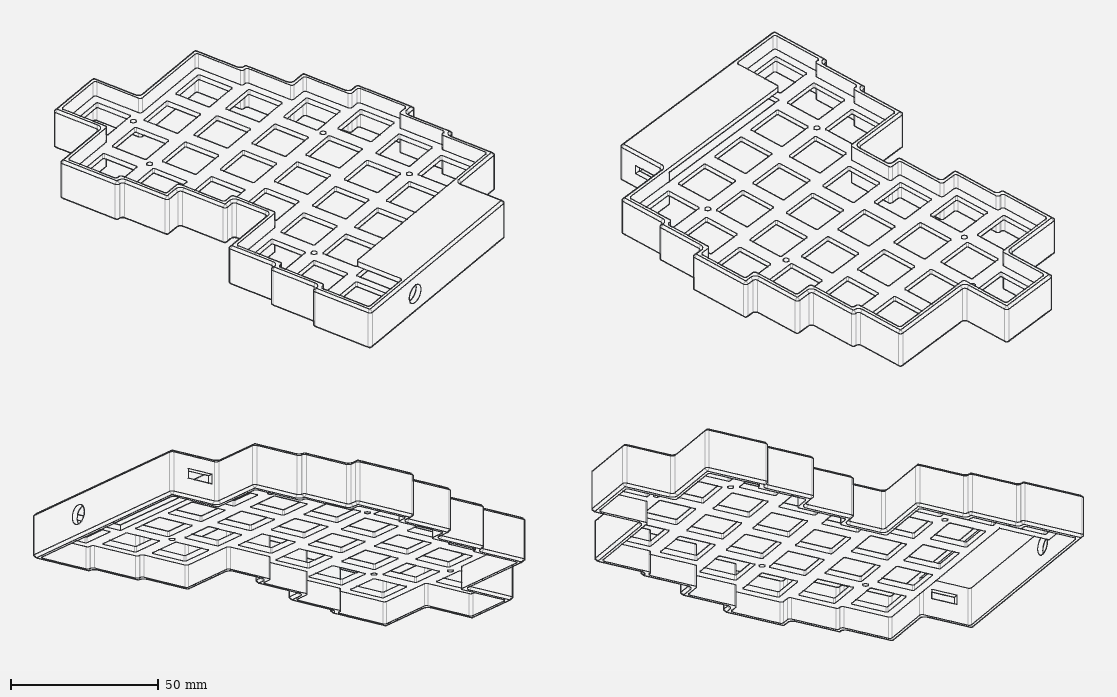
import cadquery as cq

pitch = 19.0
switch_size = 14.0
column_shift = 2.4

wall = 2.0
clearance = 0.5
margin = wall + clearance
height = 16.0
edge_chamfer = 1.0
corner_radius = 1.1
inner_corner_radius = 1.0
switch_corner_radius = 0.5

plate_top = 10.0
plate_thickness = 2.0
screw_diameter = 2.0

bay_length = 56.8
roof_thickness = 2.0

usb_width = 9.8
usb_height = 3.5
usb_z = 8.7
jack_diameter = 7.0
jack_y = 26.7
jack_z = height / 2

last_start = margin
column_6_start = last_start + column_shift
column_5_start = column_6_start + column_shift
column_4_start = column_5_start + pitch + 2 * column_shift
column_3_start = column_4_start - 2 * column_shift
column_2_start = column_3_start - 3 * column_shift
column_1_start = column_2_start - column_shift
lead_start = column_1_start + pitch + 2 * column_shift
columns = [
    (lead_start, 1),
    (column_1_start, 4),
    (column_2_start, 4),
    (column_3_start, 4),
    (column_4_start, 4),
    (column_5_start, 5),
    (column_6_start, 5),
    (last_start, 1),
]
last_column = len(columns) - 1
bay_start = last_start + pitch
bay_end = bay_start + bay_length


def column_left(index):
    """X of the -X side of a column of cells."""
    return margin + index * pitch


def block(x_start, x_end, y_start, y_end, z_start, z_end):
    """Box given by its limits on each axis."""
    return cq.Workplane("XY").box(
        x_end - x_start, y_end - y_start, z_end - z_start, centered=False
    ).translate((x_start, y_start, z_start))


def column_block(index, y_start, y_end, growth, z_start, z_end):
    """Box over one column, grown sideways on all four sides."""
    left = column_left(index)
    return block(
        left - growth, left + pitch + growth, y_start - growth, y_end + growth, z_start, z_end
    )


def key_area(growth, z_start, z_end):
    """All key cells joined and grown sideways."""
    area = cq.Workplane("XY")
    for index, (start, count) in enumerate(columns):
        area = area.union(column_block(index, start, start + count * pitch, growth, z_start, z_end))
    return area.clean()


def case_area(growth, z_start, z_end):
    """Key cells together with the controller bay, grown sideways."""
    bay = column_block(last_column, last_start, bay_end, growth, z_start, z_end)
    return key_area(growth, z_start, z_end).union(bay).clean()


def make_shell():
    """Open wall ring with rounded corners and chamfered outer rims."""
    outer = case_area(margin, 0, height).edges("|Z").fillet(corner_radius)
    outer = outer.faces("<Z or >Z").edges().chamfer(edge_chamfer)
    cavity = case_area(clearance, 0, height).edges("|Z").fillet(inner_corner_radius)
    return outer, outer.cut(cavity)


def make_roof(outer):
    """Cover over the bay, flush with the top and ending where the key opening starts."""
    roof_bottom = height - roof_thickness
    opening = key_area(clearance, roof_bottom, height).edges("|Z").fillet(inner_corner_radius)
    layer = outer.intersect(case_area(margin, roof_bottom, height))
    return layer.cut(opening)


def make_plate():
    """Plate with a square cutout in every key cell and screw holes between columns."""
    plate_bottom = plate_top - plate_thickness
    bay_gap = block(
        column_left(last_column) + clearance,
        column_left(last_column) + pitch + margin,
        bay_start + clearance,
        bay_end + margin,
        plate_bottom,
        plate_top,
    )
    cavity_layer = case_area(clearance, plate_bottom, plate_top).edges("|Z").fillet(inner_corner_radius)
    plate = cavity_layer.cut(bay_gap)

    centers = [
        (column_left(index) + pitch / 2, start + (row + 0.5) * pitch)
        for index, (start, count) in enumerate(columns)
        for row in range(count)
    ]
    cutouts = (
        cq.Workplane("XY", origin=(0, 0, plate_bottom))
        .pushPoints(centers)
        .rect(switch_size, switch_size)
        .extrude(plate_thickness)
        .edges("|Z")
        .fillet(switch_corner_radius)
    )

    half_shift = column_shift / 2
    screw_points = [
        (column_left(1), column_1_start + 2 * pitch),
        (column_left(2), column_1_start + pitch + half_shift),
        (column_left(4), column_3_start + 3 * pitch + column_shift),
        (column_left(6), column_6_start + pitch + half_shift),
        (column_left(6), column_6_start + 4 * pitch + half_shift),
    ]
    screws = (
        cq.Workplane("XY", origin=(0, 0, plate_bottom))
        .pushPoints(screw_points)
        .circle(screw_diameter / 2)
        .extrude(plate_thickness)
    )
    return plate.cut(cutouts).cut(screws)


def make_usb_opening():
    """Rectangular opening through the +Y wall of the bay."""
    center_x = column_left(last_column) + pitch / 2
    return block(
        center_x - usb_width / 2,
        center_x + usb_width / 2,
        bay_end + clearance,
        bay_end + margin,
        usb_z - usb_height / 2,
        usb_z + usb_height / 2,
    )


def make_jack_hole():
    """Round hole through the +X wall of the bay."""
    inner_x = column_left(last_column) + pitch + clearance
    return (
        cq.Workplane("YZ", origin=(inner_x, jack_y, jack_z))
        .circle(jack_diameter / 2)
        .extrude(wall)
    )


outer_body, shell = make_shell()
result = (
    shell.union(make_roof(outer_body))
    .union(make_plate())
    .cut(make_usb_opening())
    .cut(make_jack_hole())
)